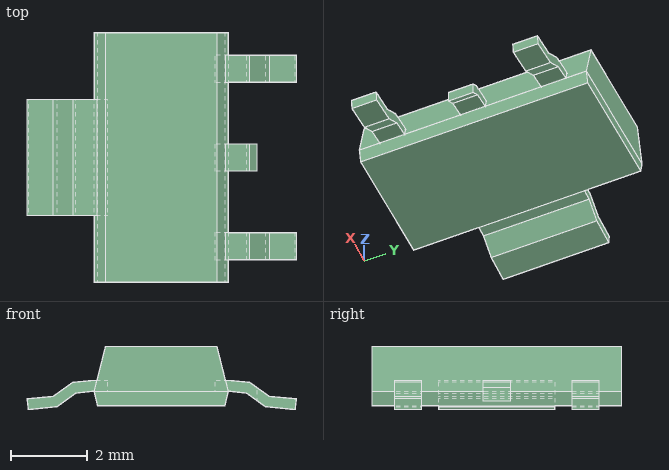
import cadquery as cq

span_x = 7.02
package_center_x = -0.015
package_length = 6.5
package_top_z = 1.65
package_bottom_z = 0.1
parting_z = 0.48
top_width = 2.905
parting_width = 3.495
bottom_width = 3.32

strip_thickness = 0.29
strip_top_z = parting_z + strip_thickness
strip_inner_x = 1.405
root_bend_x = 1.79
tip_undercut = 0.035
shoulder_top_x = 2.3
shoulder_top_z = 0.715
shoulder_bottom_x = 2.225
shoulder_bottom_z = 0.43
foot_top_x = 2.815
foot_top_z = 0.35
foot_bottom_x = 2.71
foot_bottom_z = 0.08

tab_width = 3.025
lead_width = 0.71
lead_pitch = 2.31
short_lead_end_x = 2.485


def make_package_half(end_width, end_z):
    """Trapezoidal prism between the parting plane and one flat end."""
    return (
        cq.Workplane("XZ", origin=(package_center_x, package_length / 2, 0))
        .polyline([
            (-parting_width / 2, parting_z),
            (parting_width / 2, parting_z),
            (end_width / 2, end_z),
            (-end_width / 2, end_z),
        ])
        .close()
        .extrude(package_length)
    )


def make_strip(width, side, center_y=0):
    """Gull-wing strip pointing to +X (side = 1) or -X (side = -1)."""
    tip_x = span_x / 2 - side * package_center_x
    outline = [
        (strip_inner_x, strip_top_z),
        (root_bend_x, strip_top_z),
        (shoulder_top_x, shoulder_top_z),
        (foot_top_x, foot_top_z),
        (tip_x, strip_thickness),
        (tip_x - tip_undercut, 0),
        (foot_bottom_x, foot_bottom_z),
        (shoulder_bottom_x, shoulder_bottom_z),
        (root_bend_x, parting_z),
        (strip_inner_x, parting_z),
    ]
    return (
        cq.Workplane("XZ", origin=(package_center_x, center_y + width / 2, 0))
        .polyline([(side * x, z) for x, z in outline])
        .close()
        .extrude(width)
    )


def make_short_lead():
    """Centre lead, cut off square on its downward slope."""
    cutter = (
        cq.Workplane("XY")
        .box(span_x, package_length, package_top_z, centered=(False, True, False))
        .translate((short_lead_end_x, 0, 0))
    )
    return make_strip(lead_width, 1).cut(cutter)


tab = make_strip(tab_width, -1)

long_leads = [make_strip(lead_width, 1, y) for y in (-lead_pitch, lead_pitch)]
short_lead = make_short_lead()

lower_half = make_package_half(bottom_width, package_bottom_z)
upper_half = make_package_half(top_width, package_top_z)
for strip in [tab, short_lead, *long_leads]:
    upper_half = upper_half.cut(strip)

result = cq.Compound.makeCompound([
    upper_half.solids().val(),
    lower_half.val(),
    tab.val(),
    short_lead.solids().val(),
    *[lead.val() for lead in long_leads],
])